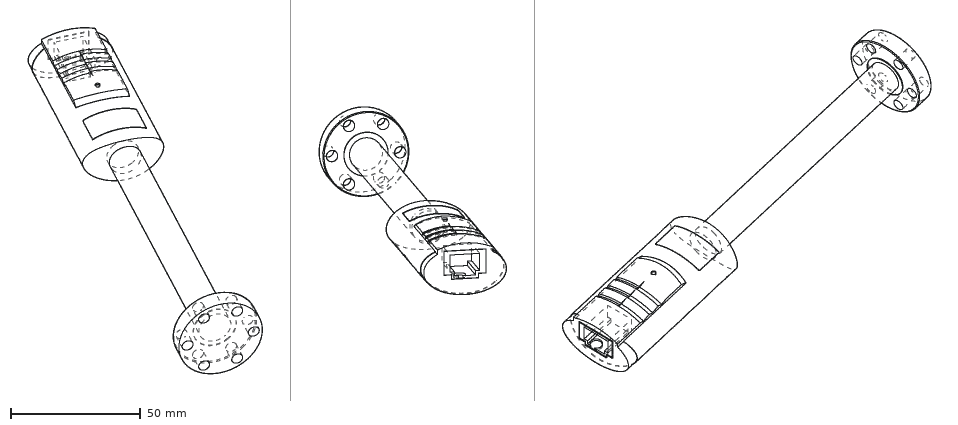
import cadquery as cq
import math

overall_length = 186.1

flange_diameter = 34.0
flange_thickness = 7.5
flange_edge_chamfer = 0.4
bolt_count = 6
bolt_circle_diameter = 27.0
bolt_hole_diameter = 4.5
weld_recess_radius = 8.7
weld_recess_depth = 0.4
flange_face_x = overall_length - flange_thickness

tube_diameter = 13.0
tube_socket_depth = 3.7

housing_length = 70.2
housing_width = 33.1
housing_height = 19.5
housing_half_width = housing_width / 2
housing_half_height = housing_height / 2
rear_dome_radius = 46.2
tube_start_x = housing_length - tube_socket_depth

band_length = 5.2
band_inset = 0.2
band_end_radius = 17.1

pad_half_width = 11.0
pad_length = 43.7
pad_top_z = 11.2
pad_arc_radius = 28.0
pad_nose_radius = 41.0
pad_nose_drop = 1.3
pad_nose_slope_length = 2.8
pad_axis_z = pad_top_z - pad_arc_radius
pad_side_length = pad_length - pad_nose_radius + math.sqrt(pad_nose_radius**2 - pad_half_width**2)

groove_count = 3
groove_start_x = 14.0
groove_pitch = 5.5
groove_width = 4.8
near_groove_depth = 0.7
near_valley_offset = 2.0
far_groove_depth = 1.0
far_valley_offset = 1.5
far_step_offset = 1.9
far_step_depth = 0.2

indicator_x = 36.0
indicator_diameter = 1.9
indicator_depth = 0.5

label_start_x = 50.5
label_length = 12.3
label_depth = 0.2
label_corner_radius = 0.5

port_depth = 14.9
port_width = 11.7
port_top_z = 6.5
port_shoulder_z = -0.28
port_key_width = 8.4
port_key_z = -2.0
port_rim_top = 1.7
port_rim_side = 2.5
port_rim_bottom = 1.1
port_rim_depth = 0.4

floor_pocket_x = 2.6
floor_pocket_y = 1.7
floor_pocket_diameter = 4.8
floor_pocket_depth = 1.0


def x_bar(section_half_width, section_half_height, length):
    """Elliptical bar running along +X from X = 0."""
    return cq.Workplane("YZ").ellipse(section_half_width, section_half_height).extrude(length)


def skin(inset):
    """Outer layer of the housing with the given thickness."""
    core = x_bar(housing_half_width - inset, housing_half_height - inset, housing_length)
    return x_bar(housing_half_width, housing_half_height, housing_length).cut(core)


def make_housing_bar():
    bar = x_bar(housing_half_width, housing_half_height, housing_length)
    dome = (
        cq.Workplane("XY", origin=(housing_length - rear_dome_radius, 0, -housing_half_height))
        .circle(rear_dome_radius)
        .extrude(housing_height)
    )
    front = cq.Workplane("XY").box(
        rear_dome_radius, housing_width, housing_height, centered=(False, True, True)
    )
    return bar.intersect(dome.union(front))


def make_band_cut():
    shoulder = (
        cq.Workplane("XZ", origin=(band_length - band_end_radius, housing_half_width, 0))
        .circle(band_end_radius)
        .extrude(housing_width)
    )
    return skin(band_inset).intersect(shoulder)


def make_pad():
    plan = (
        cq.Workplane("XY")
        .moveTo(0, -pad_half_width)
        .lineTo(pad_side_length, -pad_half_width)
        .threePointArc((pad_length, 0), (pad_side_length, pad_half_width))
        .lineTo(0, pad_half_width)
        .close()
        .extrude(pad_top_z)
    )
    crown = (
        cq.Workplane("YZ", origin=(0, 0, pad_axis_z)).circle(pad_arc_radius).extrude(pad_length)
    )
    return plan.intersect(crown)


def make_half_groove(start_x, valley_points, side):
    """Quarter ring that follows the crown of the pad; side is +1 for +Y and -1 for -Y."""
    profile = [(0, 0)] + valley_points + [(groove_width, 0)]
    return (
        cq.Workplane("XZ")
        .polyline([(start_x + offset, pad_top_z - depth) for offset, depth in profile])
        .close()
        .revolve(90, (0, pad_axis_z, 0), (-side, pad_axis_z, 0))
    )


def make_groove(start_x):
    """Groove with a plain V on the -Y half and a steep wall on the +Y half."""
    near_points = [(near_valley_offset, near_groove_depth)]
    far_points = [(far_valley_offset, far_groove_depth), (far_step_offset, far_step_depth)]
    near_half = make_half_groove(start_x, near_points, -1)
    far_half = make_half_groove(start_x, far_points, 1)
    return near_half.union(far_half)


def slope_nose(pad):
    """Bevel the curved upper edge at the rear end of the pad down towards the housing."""
    nose_edge = pad.faces(">X").edges(">Z")
    return nose_edge.chamfer(pad_nose_drop, pad_nose_slope_length)


def make_port(depth, side=0, above=0, below=0):
    """T-shaped cut from the front face, widened by the given margins."""
    upper_width = port_width + 2 * side
    key_width = port_key_width + 2 * below
    top = port_top_z + above
    shoulder = port_shoulder_z - below
    key = port_key_z - below
    upper = cq.Workplane("XY", origin=(0, 0, shoulder)).box(
        depth, upper_width, top - shoulder, centered=(False, True, False))
    lower = cq.Workplane("XY", origin=(0, 0, key)).box(
        depth, key_width, top - key, centered=(False, True, False))
    return upper.union(lower)


def make_floor_pocket():
    floor_z = port_key_z - floor_pocket_depth
    return (
        cq.Workplane("XY", origin=(floor_pocket_x, floor_pocket_y, floor_z))
        .circle(floor_pocket_diameter / 2)
        .extrude(floor_pocket_depth)
    )


def make_label_cut():
    outline = (
        cq.Workplane("XY")
        .center(label_start_x + label_length / 2, 0)
        .rect(label_length, 2 * pad_half_width)
        .extrude(housing_half_height)
        .edges("|Z and <X")
        .fillet(label_corner_radius)
    )
    return skin(label_depth).intersect(outline)


def make_housing():
    pad = slope_nose(make_pad())
    housing = make_housing_bar().cut(make_band_cut()).union(pad)
    for i in range(groove_count):
        housing = housing.cut(make_groove(groove_start_x + i * groove_pitch))
    indicator = (
        cq.Workplane("XY", origin=(indicator_x, 0, pad_top_z - indicator_depth))
        .circle(indicator_diameter / 2)
        .extrude(indicator_depth)
    )
    tube_socket = (
        cq.Workplane("YZ", origin=(tube_start_x, 0, 0)).circle(tube_diameter / 2).extrude(tube_socket_depth)
    )
    return (
        housing.cut(indicator)
        .cut(make_label_cut())
        .cut(make_port(port_depth))
        .cut(make_port(port_rim_depth, port_rim_side, port_rim_top, port_rim_bottom))
        .cut(make_floor_pocket())
        .cut(tube_socket)
    )


def make_tube():
    length = flange_face_x + weld_recess_depth - tube_start_x
    return cq.Workplane("YZ", origin=(tube_start_x, 0, 0)).circle(tube_diameter / 2).extrude(length)


def make_flange():
    disc = (
        cq.Workplane("YZ", origin=(flange_face_x, 0, 0))
        .circle(flange_diameter / 2)
        .extrude(flange_thickness)
        .faces("<X")
        .chamfer(flange_edge_chamfer)
    )
    bolt_holes = (
        cq.Workplane("YZ", origin=(flange_face_x, 0, 0))
        .polarArray(bolt_circle_diameter / 2, 0, 360, bolt_count)
        .circle(bolt_hole_diameter / 2)
        .extrude(flange_thickness)
    )
    recess = (
        cq.Workplane("YZ", origin=(flange_face_x, 0, 0)).circle(weld_recess_radius).extrude(weld_recess_depth)
    )
    return disc.cut(bolt_holes).cut(recess)


housing = make_housing()
tube = make_tube()
flange = make_flange()

result = cq.Compound.makeCompound([housing.val(), tube.val(), flange.val()])